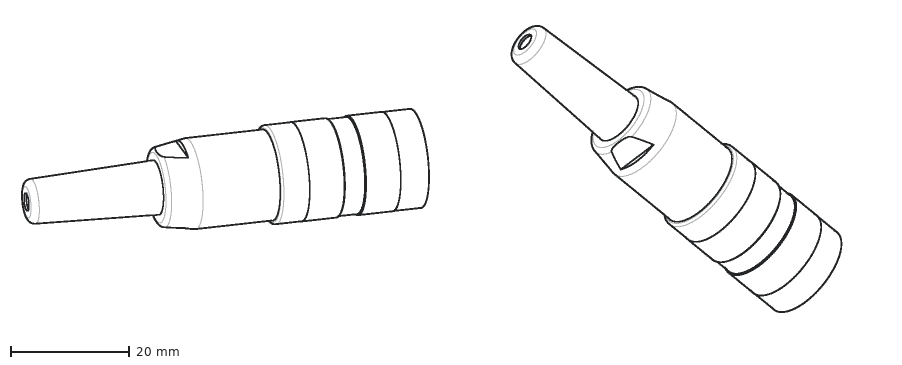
import cadquery as cq

total_length = 68.5

sleeve_diameter = 16.9
sleeve_length = 26.0
sleeve_front_fillet = 0.4
band_diameter = 17.0
band_length = 6.1
band_end_margin = 5.0
groove_diameter = 16.6
groove_flank_width = (sleeve_diameter - groove_diameter) / 2

barrel_diameter = 15.55
nose_start = 28.85
nose_front = 22.8
nose_end_diameter = 13.5
nose_fillet = 0.9

flat_spacing = 12.95
flat_length = 4.6

tail_root_diameter = 9.3
tail_tip_diameter = 7.6
tail_fillet = 1.15
tip_hole_diameter = 3.0
tip_wall = 0.4
tail_side_wall = 1.0

sleeve_front = total_length - sleeve_length
rear_band_front = total_length - band_end_margin - band_length
front_band_back = sleeve_front + band_end_margin + band_length


def cylinder(diameter, y_start, y_end):
    """Solid cylinder on the Y axis between two Y positions."""
    return (
        cq.Workplane("XZ", origin=(0, y_start, 0))
        .circle(diameter / 2)
        .extrude(y_start - y_end)
    )


def cone(front_diameter, back_diameter, y_front, y_back):
    """Solid truncated cone on the Y axis."""
    return (
        cq.Workplane("XY")
        .moveTo(0, y_front)
        .lineTo(front_diameter / 2, y_front)
        .lineTo(back_diameter / 2, y_back)
        .lineTo(0, y_back)
        .close()
        .revolve(360, (0, 0, 0), (0, 1, 0))
    )


def make_sleeve():
    sleeve = cylinder(sleeve_diameter, sleeve_front, total_length)
    sleeve = sleeve.faces("<Y").edges().fillet(sleeve_front_fillet)
    for band_front in (rear_band_front, front_band_back - band_length):
        sleeve = sleeve.union(cylinder(band_diameter, band_front, band_front + band_length))
    return sleeve.cut(make_groove_ring())


def make_groove_ring():
    """Ring between the bands, with 45 degree flanks."""
    outer_radius = band_diameter / 2
    lip_radius = sleeve_diameter / 2
    floor_radius = groove_diameter / 2
    return (
        cq.Workplane("XY")
        .moveTo(outer_radius, front_band_back)
        .lineTo(lip_radius, front_band_back)
        .lineTo(floor_radius, front_band_back + groove_flank_width)
        .lineTo(floor_radius, rear_band_front - groove_flank_width)
        .lineTo(lip_radius, rear_band_front)
        .lineTo(outer_radius, rear_band_front)
        .close()
        .revolve(360, (0, 0, 0), (0, 1, 0))
    )


def make_nose():
    nose = cone(nose_end_diameter, barrel_diameter, nose_front, nose_start)
    nose = nose.faces("<Y").edges().fillet(nose_fillet)
    for side in (1, -1):
        flat_cutter = cq.Workplane("XY").box(
            barrel_diameter, flat_length, barrel_diameter, centered=(True, False, True)
        )
        flat_height = side * (flat_spacing + barrel_diameter) / 2
        nose = nose.cut(flat_cutter.translate((0, nose_front, flat_height)))
    return nose


def make_tail():
    tail = cone(tail_tip_diameter, tail_root_diameter, 0, nose_front)
    tail = tail.faces("<Y").edges().fillet(tail_fillet)
    cavity = cone(
        tail_tip_diameter - 2 * tail_side_wall,
        tail_root_diameter - 2 * tail_side_wall,
        tip_wall,
        nose_front,
    )
    return tail.cut(cavity).cut(cylinder(tip_hole_diameter, 0, tip_wall))


barrel = cylinder(barrel_diameter, nose_start, sleeve_front)
result = make_sleeve().union(barrel).union(make_nose()).union(make_tail())